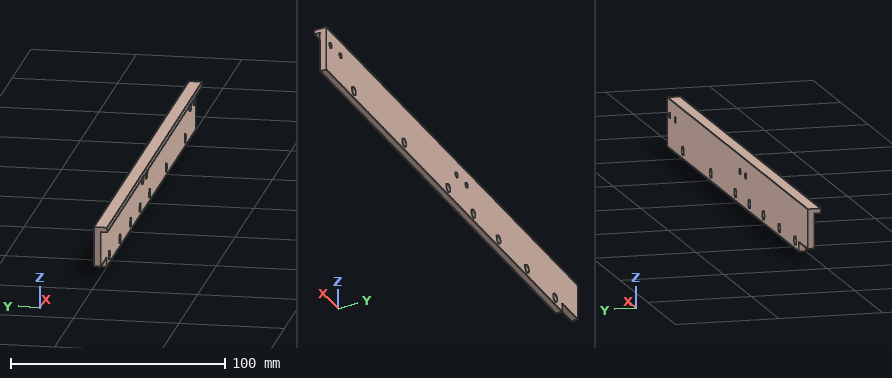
import cadquery as cq
import math

length = 254.0
depth = 6.4
height = 23.5

plate_thickness = 3.3
lip_thickness = 2.3

notch_length = 15.7
notch_height = 4.5

hole_diameter = 4.0
hole_height = 3.8
hole_positions = [22.9, 51.3, 80.0, 105.5, 130.8, 175.3, 226.0]

screw_diameter = 2.5
countersink_diameter = 5.0
countersink_angle = 82
screw_height = 15.7
screw_pair_starts = [112.3, 239.5]
screw_spacing = 10.2

plate_front = depth - plate_thickness
lip_bottom = height - lip_thickness


def make_bar():
    """L-section bar with its front lip edge at Y = 0 and its base at Z = 0."""
    plate = cq.Workplane("XY").box(length, plate_thickness, height, centered=False)
    plate = plate.translate((0, plate_front, 0))
    lip = cq.Workplane("XY").box(length, depth, lip_thickness, centered=False)
    return plate.union(lip.translate((0, 0, lip_bottom)))


def make_notch():
    return cq.Workplane("XY").box(notch_length, depth, notch_height, centered=False)


def on_plate_front(points):
    """Place points on the front face of the plate, with Z pointing out of the plate."""
    return cq.Workplane("XZ", origin=(0, plate_front, 0)).pushPoints(points)


def make_plain_holes():
    points = [(x, hole_height) for x in hole_positions]
    return on_plate_front(points).circle(hole_diameter / 2).extrude(-plate_thickness)


def make_countersunk_holes():
    points = [
        (start + offset, screw_height)
        for start in screw_pair_starts
        for offset in (0, screw_spacing)
    ]
    shanks = on_plate_front(points).circle(screw_diameter / 2).extrude(-plate_thickness)
    half_angle = countersink_angle / 2
    cone_depth = (countersink_diameter - screw_diameter) / 2 / math.tan(math.radians(half_angle))
    cones = on_plate_front(points).circle(countersink_diameter / 2).extrude(-cone_depth, taper=half_angle)
    return shanks.union(cones)


result = make_bar().cut(make_notch()).cut(make_plain_holes()).cut(make_countersunk_holes())